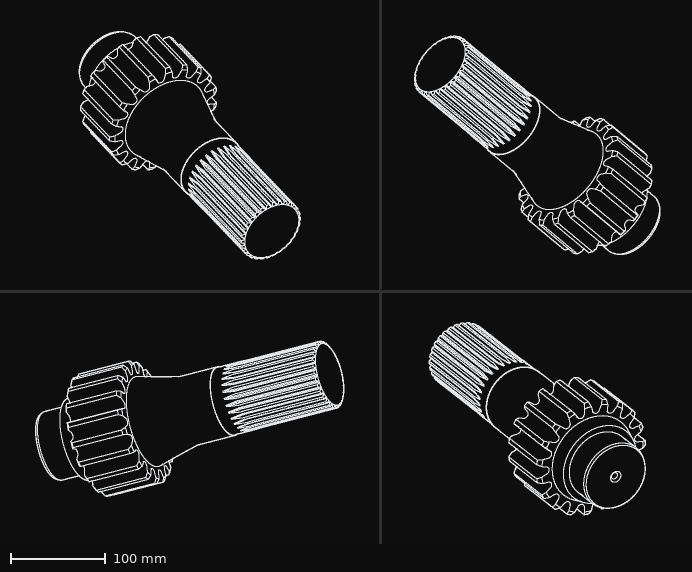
import cadquery as cq
import math

length = 328.7
collar_start = 33.0
gear_start = 49.0
gear_width = 64.5
gear_end = gear_start + gear_width
cone_end = 161.7
spline_blank_start = 206.5
runout_start = 220.2
groove_full = 233.7
land_relief_end = 240.0

shaft_radius = 37.5
collar_radius = 44.7
hub_radius = 49.0
spline_radius = 36.8
land_radius = 36.5
spline_root_radius = 33.5

seat_chamfer_length = 3.0
seat_chamfer_depth = 1.3
spline_chamfer_length = 2.0

tooth_count = 19
gear_tip_radius = 133.0 / 2
gear_root_radius = 52.5
gear_chamfer_length = 3.0
gear_chamfer_radius = 61.8
tip_half_width = 2.5
root_fillet_radius = 4.3
flank_foot_taper = 7.0

groove_count = 30
groove_floor_half_width = 0.5
groove_flank_angle = 30.0

countersink_radius = 6.2
centre_hole_radius = 3.5
countersink_angle = 90.0
centre_hole_depth = 13.0
drill_point_angle = 118.0


def polar(radius, angle):
    """Point in the YZ plane, with the angle measured from +Y towards +Z."""
    return (radius * math.cos(angle), radius * math.sin(angle))


def cone_length(radius, included_angle):
    """Axial length of a full cone with the given base radius."""
    return radius / math.tan(math.radians(included_angle / 2))


def revolve_about_x(points):
    return cq.Workplane("XY").polyline(points).close().revolve(360, (0, 0, 0), (1, 0, 0))


def make_shaft():
    return revolve_about_x([
        (0, 0),
        (0, shaft_radius - seat_chamfer_depth),
        (seat_chamfer_length, shaft_radius),
        (collar_start, shaft_radius),
        (collar_start, collar_radius),
        (gear_start, hub_radius),
        (gear_end, hub_radius),
        (cone_end, shaft_radius),
        (spline_blank_start, shaft_radius),
        (spline_blank_start, spline_radius),
        (groove_full, spline_radius),
        (land_relief_end, land_radius),
        (length - spline_chamfer_length, land_radius),
        (length, spline_root_radius),
        (length, 0),
    ])


def tangent_arc_midpoint(start, end, heading):
    """Midpoint of the arc from start to end that leaves start at the given heading angle."""
    chord_x = end[0] - start[0]
    chord_y = end[1] - start[1]
    half_turn = math.atan2(chord_y, chord_x) - heading
    bulge = math.tan(half_turn / 2) / 2
    return (
        (start[0] + end[0]) / 2 + bulge * chord_y,
        (start[1] + end[1]) / 2 - bulge * chord_x,
    )


def make_gear():
    """Toothed ring with one tooth centred on -Y and conical chamfers on both faces.

    Each gap has a round bottom that runs tangentially into two curved flanks.
    """
    pitch = 2 * math.pi / tooth_count
    tip_angle = math.asin(tip_half_width / gear_tip_radius)

    flank_heading = pitch / 2 + math.radians(flank_foot_taper)
    foot = (
        gear_root_radius + root_fillet_radius * (1 - math.sin(flank_heading)),
        root_fillet_radius * math.cos(flank_heading),
    )
    flank_mid = tangent_arc_midpoint(foot, polar(gear_tip_radius, pitch / 2 - tip_angle), flank_heading)
    foot_radius = math.hypot(*foot)
    foot_angle = pitch / 2 - math.atan2(foot[1], foot[0])
    mid_radius = math.hypot(*flank_mid)
    mid_angle = pitch / 2 - math.atan2(flank_mid[1], flank_mid[0])

    outline = cq.Workplane("YZ", origin=(gear_start, 0, 0))
    outline = outline.moveTo(*polar(foot_radius, math.pi - foot_angle))
    for tooth in range(tooth_count):
        axis = math.pi + tooth * pitch
        outline = (
            outline
            .threePointArc(polar(mid_radius, axis - mid_angle), polar(gear_tip_radius, axis - tip_angle))
            .threePointArc(polar(gear_tip_radius, axis), polar(gear_tip_radius, axis + tip_angle))
            .threePointArc(polar(mid_radius, axis + mid_angle), polar(foot_radius, axis + foot_angle))
            .threePointArc(
                polar(gear_root_radius, axis + pitch / 2),
                polar(foot_radius, axis + pitch - foot_angle),
            )
        )
    teeth = outline.close().extrude(gear_width)

    chamfered_blank = revolve_about_x([
        (gear_start, 0),
        (gear_start, gear_chamfer_radius),
        (gear_start + gear_chamfer_length, gear_tip_radius),
        (gear_end - gear_chamfer_length, gear_tip_radius),
        (gear_end, gear_chamfer_radius),
        (gear_end, 0),
    ])
    return teeth.intersect(chamfered_blank)


def groove_section(x, floor_radius):
    """Trapezoidal wire across the groove at station x, opening towards +Z."""
    height = 2 * (spline_radius - spline_root_radius)
    top_half_width = groove_floor_half_width + height * math.tan(math.radians(groove_flank_angle))
    top_radius = floor_radius + height
    return cq.Wire.makePolygon([
        cq.Vector(x, -groove_floor_half_width, floor_radius),
        cq.Vector(x, groove_floor_half_width, floor_radius),
        cq.Vector(x, top_half_width, top_radius),
        cq.Vector(x, -top_half_width, top_radius),
    ], close=True)


def make_spline_grooves():
    """Groove cutters whose floor ramps out to the surface; one is centred on +Z."""
    full_section = groove_section(groove_full, spline_root_radius)
    runout_section = groove_section(runout_start, spline_radius)
    end_section = groove_section(length, spline_root_radius)
    runout = cq.Solid.makeLoft([runout_section, full_section], True)
    straight = cq.Solid.makeLoft([full_section, end_section], True)
    groove = cq.Workplane(runout).union(cq.Workplane(straight)).val()

    axis_start = cq.Vector(0, 0, 0)
    axis_end = cq.Vector(1, 0, 0)
    step = 360 / groove_count
    return [groove.rotate(axis_start, axis_end, i * step) for i in range(groove_count)]


def make_centre_hole():
    """Countersunk blind hole with a conical drill point."""
    full_cone = cone_length(countersink_radius, countersink_angle)
    countersink_depth = full_cone - cone_length(centre_hole_radius, countersink_angle)
    return revolve_about_x([
        (0, 0),
        (0, countersink_radius),
        (countersink_depth, centre_hole_radius),
        (centre_hole_depth, centre_hole_radius),
        (centre_hole_depth + cone_length(centre_hole_radius, drill_point_angle), 0),
    ])


body = make_shaft().union(make_gear()).cut(make_centre_hole())
body = cq.Workplane(body.val().cut(*make_spline_grooves()))
result = cq.Workplane(body.solids().val())